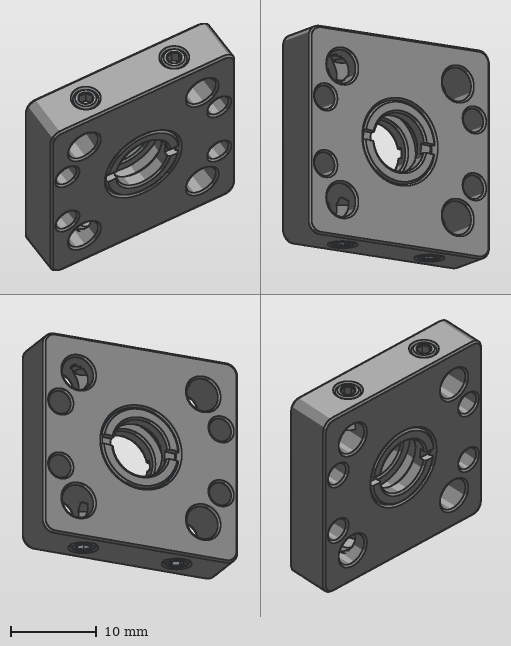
import cadquery as cq
import math

SIDE = 25.0
THICKNESS = 6.0
CORNER_RADIUS = 1.5
EDGE_CHAMFER = 0.25

ROD_HOLE_DIAMETER = 4.0
ROD_HOLE_OFFSET = 8.0
SMALL_HOLE_DIAMETER = 2.8
SMALL_HOLE_Y = 10.3
SMALL_HOLE_Z = 4.0
MOUTH_CHAMFER = 0.25

BORE_DIAMETER = 9.5
BORE_MOUTH_CHAMFER = 0.5
RING_OUTER_DIAMETER = 10.0
RING_INNER_DIAMETER = 7.0
RING_THICKNESS = THICKNESS / 3
RING_OUTER_CHAMFER = (RING_OUTER_DIAMETER - BORE_DIAMETER) / 2
RING_INNER_CHAMFER = 0.25
SLOT_WIDTH = 1.2
SLOT_DEPTH = 0.9
SLOT_TILT = 3.5

SCREW_Y = 6.0
SCREW_DIAMETER = 3.0
SCREW_LENGTH = 3.0
SCREW_HEAD_CHAMFER = 0.25
SCREW_TIP_CHAMFER = 0.5
DRILL_DIAMETER = 2.5
DRILL_DEPTH = 5.0
DRILL_POINT_ANGLE = 118.0
DRILL_MOUTH_CHAMFER = 0.5

SOCKET_ACROSS_FLATS = 1.5
SOCKET_MOUTH_DIAMETER = 1.8
SOCKET_DEPTH = 1.5
SOCKET_TURNS = {-1: 0.0, 1: 20.0}

HALF_SIDE = SIDE / 2
SIGNS = (-1, 1)


def through_hole(diameter, length, chamfer, y=0, z=0):
    """Cutter along X from x = 0 to x = length, flared at both ends to chamfer the hole mouths."""
    radius = diameter / 2
    profile = [
        (0, 0),
        (0, radius + chamfer),
        (chamfer, radius),
        (length - chamfer, radius),
        (length, radius + chamfer),
        (length, 0),
    ]
    return cq.Workplane("XY").polyline(profile).close().revolve(360, (0, 0), (1, 0)).translate((0, y, z))


def place_at_screw(shape, y_sign, z_sign):
    """Move a shape hanging below z = 0 to a screw position, upside down on the bottom face."""
    if z_sign < 0:
        shape = shape.rotate((0, 0, 0), (1, 0, 0), 180)
    return shape.translate((THICKNESS / 2, y_sign * SCREW_Y, z_sign * HALF_SIDE))


def make_ring():
    """Retaining ring with a tilted screwdriver slot across its face at x = 0."""
    ring = cq.Workplane("YZ").circle(RING_OUTER_DIAMETER / 2).extrude(RING_THICKNESS)
    ring = ring.faces("<X or >X").edges().chamfer(RING_OUTER_CHAMFER)
    ring = ring.cut(through_hole(RING_INNER_DIAMETER, RING_THICKNESS, RING_INNER_CHAMFER))
    slot = (
        cq.Workplane("YZ")
        .rect(RING_OUTER_DIAMETER, SLOT_WIDTH)
        .extrude(SLOT_DEPTH)
        .rotate((0, 0, 0), (1, 0, 0), SLOT_TILT)
    )
    return ring.cut(slot)


def make_screw(socket_turn):
    """Set screw with its drive end at z = 0, pointing down, and its socket turned about Z."""
    screw = cq.Workplane("XY").circle(SCREW_DIAMETER / 2).extrude(-SCREW_LENGTH)
    screw = screw.faces(">Z").edges().chamfer(SCREW_HEAD_CHAMFER)
    screw = screw.faces("<Z").edges().chamfer(SCREW_TIP_CHAMFER)
    socket = (
        cq.Workplane("XY")
        .polygon(6, SOCKET_ACROSS_FLATS, circumscribed=True)
        .extrude(-SOCKET_DEPTH)
        .rotate((0, 0, 0), (0, 0, 1), socket_turn)
    )
    mouth_radius = SOCKET_MOUTH_DIAMETER / 2
    mouth_profile = [(0, 0), (mouth_radius, 0), (0, -mouth_radius)]
    mouth = cq.Workplane("XZ").polyline(mouth_profile).close().revolve(360, (0, 0), (0, 1))
    return screw.cut(socket).cut(mouth)


def make_drill_hole():
    """Blind hole cutter below z = 0 with a chamfered mouth and a conical drill point."""
    radius = DRILL_DIAMETER / 2
    point_length = radius / math.tan(math.radians(DRILL_POINT_ANGLE / 2))
    profile = [
        (0, 0),
        (radius + DRILL_MOUTH_CHAMFER, 0),
        (radius, -DRILL_MOUTH_CHAMFER),
        (radius, -DRILL_DEPTH),
        (0, -DRILL_DEPTH - point_length),
    ]
    return cq.Workplane("XZ").polyline(profile).close().revolve(360, (0, 0), (0, 1))


def make_housing(inserts):
    """Chamfered block with its holes, and with seats cut to the shape of the inserted bodies."""
    housing = (
        cq.Workplane("YZ")
        .rect(SIDE, SIDE)
        .extrude(THICKNESS)
        .edges("|X")
        .fillet(CORNER_RADIUS)
        .faces("<X or >X")
        .edges()
        .chamfer(EDGE_CHAMFER)
    )
    cutters = [through_hole(BORE_DIAMETER, THICKNESS, BORE_MOUTH_CHAMFER)]
    for y_sign in SIGNS:
        for z_sign in SIGNS:
            rod_place = (y_sign * ROD_HOLE_OFFSET, z_sign * ROD_HOLE_OFFSET)
            small_place = (y_sign * SMALL_HOLE_Y, z_sign * SMALL_HOLE_Z)
            cutters.append(through_hole(ROD_HOLE_DIAMETER, THICKNESS, MOUTH_CHAMFER, *rod_place))
            cutters.append(through_hole(SMALL_HOLE_DIAMETER, THICKNESS, MOUTH_CHAMFER, *small_place))
            cutters.append(place_at_screw(make_drill_hole(), y_sign, z_sign))
    for cutter in cutters + inserts:
        housing = housing.cut(cutter)
    return housing


near_ring = make_ring()
far_ring = make_ring().rotate((0, 0, 0), (0, 0, 1), 180).translate((THICKNESS, 0, 0))
rings = [near_ring, far_ring]

screws = []
for y_sign in SIGNS:
    for z_sign in SIGNS:
        screw = make_screw(SOCKET_TURNS[y_sign])
        screws.append(place_at_screw(screw, y_sign, z_sign))

housing = make_housing(rings + screws)

bodies = [housing, *rings, *screws]
result = cq.Compound.makeCompound([body.solids().val() for body in bodies])